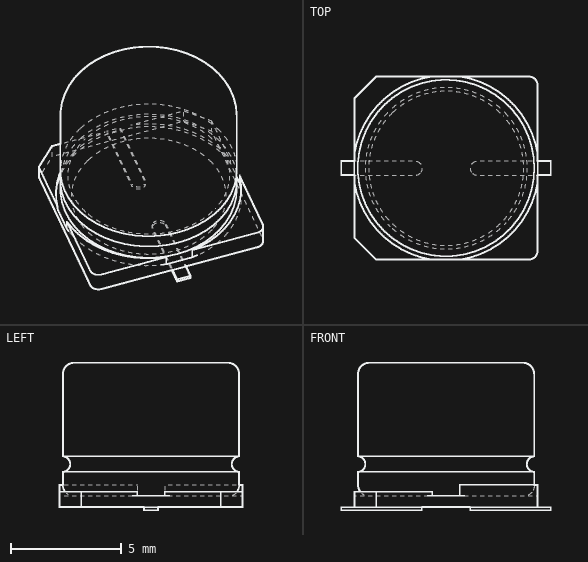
import cadquery as cq

total_length = 9.5
total_height = 6.7
base_width = 8.3

lead_thickness = 0.15
low_top = 0.855
high_top = 1.16
base_chamfer = 0.99
base_corner_radius = 0.4
recess_diameter = 8.4
recess_floor = 0.665

can_radius = 8.0 / 2
can_edge_radius = 0.52
can_bottom_radius = high_top - recess_floor
groove_bottom = 1.75
groove_top = 2.45
groove_depth = 0.33

lead_width = 0.65
lead_gap = 2.185


def make_base():
    """Square base, raised on its +X half, with a round seat for the can."""
    plate = (
        cq.Workplane("XY", origin=(0, 0, lead_thickness))
        .rect(base_width, base_width)
        .extrude(high_top - lead_thickness)
    )
    plate = plate.edges("|Z and <X").chamfer(base_chamfer)
    plate = plate.edges("|Z and >X").fillet(base_corner_radius)

    step = (
        cq.Workplane("XY", origin=(-base_width / 2, 0, low_top))
        .rect(base_width, base_width)
        .extrude(high_top - low_top)
    )
    seat = (
        cq.Workplane("XY", origin=(0, 0, recess_floor))
        .circle(recess_diameter / 2)
        .extrude(high_top - recess_floor)
    )
    return plate.cut(step).cut(seat)


def make_can():
    """Revolved can with rounded ends and a rolled groove near the base."""
    profile = (
        cq.Workplane("XZ")
        .moveTo(0, recess_floor)
        .lineTo(can_radius, recess_floor)
        .lineTo(can_radius, groove_bottom)
        .threePointArc(
            (can_radius - groove_depth, (groove_bottom + groove_top) / 2),
            (can_radius, groove_top),
        )
        .lineTo(can_radius, total_height)
        .lineTo(0, total_height)
        .close()
    )
    can = profile.revolve(360, (0, 0, 0), (0, 1, 0))
    can = can.faces(">Z").edges().fillet(can_edge_radius)
    return can.faces("<Z").edges().fillet(can_bottom_radius)


def make_lead(side):
    """Flat lead strip with a round inner end, on the side given by -1 or 1."""
    round_center = lead_gap / 2 + lead_width / 2
    straight_length = total_length / 2 - round_center
    strip = (
        cq.Workplane("XY")
        .center(side * (round_center + straight_length / 2), 0)
        .rect(straight_length, lead_width)
        .extrude(lead_thickness)
    )
    inner_end = (
        cq.Workplane("XY")
        .center(side * round_center, 0)
        .circle(lead_width / 2)
        .extrude(lead_thickness)
    )
    return strip.union(inner_end)


result = make_base().union(make_can())
for lead_side in (-1, 1):
    result = result.union(make_lead(lead_side))